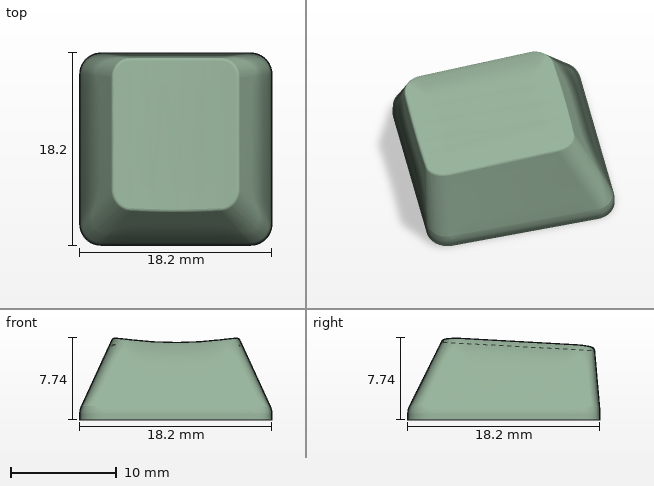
import cadquery as cq
import math

base_size = 18.16
base_corner_radius = 2.03

skirt_height = 0.62
shoulder_top = 1.3
side_inset = 0.16
front_inset = 0.16
back_inset = 0.04

top_width = 11.88
top_front = -5.63
top_back = 8.54
top_corner_radius = 1.82
top_middle_height = 7.5
top_tilt = 3.2

dish_radius = 34.5
dish_depth = 0.56
dish_length = 2 * base_size

rim_radius = 0.27

top_middle = (top_front + top_back) / 2
tilt = math.radians(top_tilt)
top_length = (top_back - top_front) / math.cos(tilt)
top_plane = cq.Plane(
    origin=(0, top_middle, top_middle_height),
    xDir=(1, 0, 0),
    normal=(0, math.sin(tilt), math.cos(tilt)),
)


def rounded_outline(plane, width, length, radius):
    """Closed wire of a rounded rectangle centred on the plane's origin."""
    block = cq.Workplane("XY").rect(width, length).extrude(0.18).edges("|Z").fillet(radius)
    outline = block.faces("<Z").val().outerWire()
    return outline.moved(plane.location)


def shoulder_outline(rise):
    """Outline of the shoulder at a fraction of its rise; the insets grow with the square of the rise."""
    width = base_size - 2 * side_inset * rise**2
    length = base_size - (front_inset + back_inset) * rise**2
    middle = (front_inset - back_inset) * rise**2 / 2
    height = skirt_height + rise * (shoulder_top - skirt_height)
    plane = cq.Plane(origin=(0, middle, height))
    radius = base_corner_radius - side_inset * rise**2
    return rounded_outline(plane, width, length, radius)


def make_skirt():
    return (
        cq.Workplane("XY")
        .rect(base_size, base_size)
        .extrude(skirt_height)
        .edges("|Z")
        .fillet(base_corner_radius)
    )


def make_shoulder():
    outlines = [shoulder_outline(rise) for rise in (0, 0.5, 1)]
    return cq.Workplane(cq.Solid.makeLoft(outlines))


def make_sloping_body():
    upper = rounded_outline(top_plane, top_width, top_length, top_corner_radius)
    return cq.Workplane(cq.Solid.makeLoft([shoulder_outline(1), upper], True))


def make_dish():
    axis_plane = cq.Plane(
        origin=top_plane.toWorldCoords((0, 0, dish_radius - dish_depth)).toTuple(),
        xDir=(1, 0, 0),
        normal=top_plane.yDir.toTuple(),
    )
    return cq.Workplane(axis_plane).circle(dish_radius).extrude(dish_length / 2, both=True)


body = make_sloping_body().cut(make_dish())
body = body.faces(">Z").edges().fillet(rim_radius)
result = make_skirt().union(make_shoulder()).union(body)